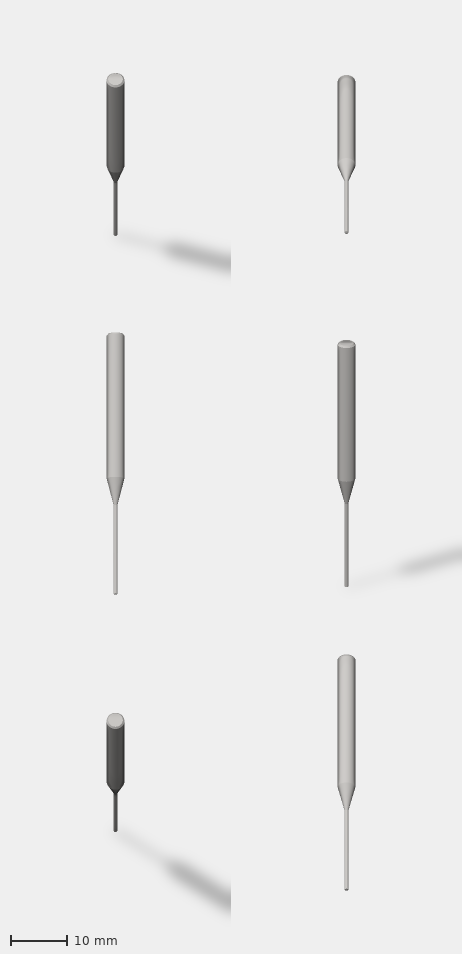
import cadquery as cq
import math

total_length = 47.15
shank_diameter = 3.15
needle_radius = 0.35

cutter_length = 7.45
neck_top = 16.1
taper_top = 20.95

chamfer_width = 0.3
chamfer_height = 0.35

point_angle = 150.0

shank_radius = shank_diameter / 2
tip_z = -total_length / 2
top_z = total_length / 2
joint_z = tip_z + cutter_length
point_height = needle_radius / math.tan(math.radians(point_angle / 2))


def revolve_profile(points):
    """Turn a closed (radius, height) outline around the Z axis."""
    return cq.Workplane("XZ").polyline(points).close().revolve(360, (0, 0), (0, 1))


def make_shank():
    """Chamfered cylindrical shank that tapers down to a slender neck."""
    return revolve_profile([
        (0, joint_z),
        (needle_radius, joint_z),
        (needle_radius, tip_z + neck_top),
        (shank_radius, tip_z + taper_top),
        (shank_radius, top_z - chamfer_height),
        (shank_radius - chamfer_width, top_z),
        (0, top_z),
    ])


def make_cutter():
    """Plain cutting cylinder with a conical point, butted against the neck."""
    return revolve_profile([
        (0, tip_z),
        (needle_radius, tip_z + point_height),
        (needle_radius, joint_z),
        (0, joint_z),
    ])


shank = make_shank()
cutter = make_cutter()

result = cq.Compound.makeCompound([shank.val(), cutter.val()])